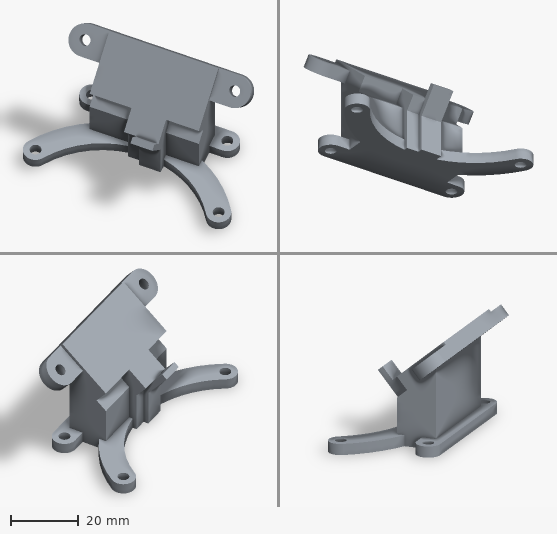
import cadquery as cq
import math

TILT = 40.0
PLATE_THICKNESS = 5.0
PLATE_WIDTH = 35.0
PLATE_LENGTH = 19.5
TONGUE_LENGTH = 27.0
TONGUE_LEFT = -4.1
TONGUE_RIGHT = 7.0
PLATE_BACK_Y = 5.68
PLATE_BACK_Z = 30.03

EAR_THICKNESS = 4.0
EAR_WIDTH = 10.0
EAR_HOLE_X = 24.0

COLUMN_DEPTH = 12.5

CLIP_LEFT = 0.0
CLIP_THICKNESS = 2.0
CLIP_ARM_LENGTH = 10.0
CLIP_STEM_THICKNESS = 1.6

HOLE_DIAMETER = 3.5

BASE_THICKNESS = 3.45
LUG_RADIUS = 3.76
ARM_RADIUS = 35.0
ARM_HALF_ANGLE = 57.0
ARM_CENTRE_Y = -44.66
BACK_LUG_X = 21.7
BACK_LUG_Y = -0.71

SIDES = (-1, 1)

slope_cos = math.cos(math.radians(TILT))
slope_sin = math.sin(math.radians(TILT))


def slope_point(along, above):
    """(Y, Z) of a point down the slope and above the plate underside."""
    y = PLATE_BACK_Y - along * slope_cos - above * slope_sin
    z = PLATE_BACK_Z - along * slope_sin + above * slope_cos
    return (y, z)


def underside_at(y):
    """(Y, Z) of the plate underside at a given Y."""
    return slope_point((PLATE_BACK_Y - y) / slope_cos, 0)


def extrude_side_profile(points, left, right):
    """Solid with a YZ outline, running from X = left to X = right."""
    return cq.Workplane("YZ").workplane(offset=left).polyline(points).close().extrude(right - left)


def sloped_slab(length, left, right):
    """Tilted slab that starts at the high back edge."""
    outline = [
        slope_point(0, 0),
        slope_point(length, 0),
        slope_point(length, PLATE_THICKNESS),
        slope_point(0, PLATE_THICKNESS),
    ]
    return extrude_side_profile(outline, left, right)


def column(front_y, left, right):
    """Upright block from the floor to the plate underside."""
    outline = [(0, 0), underside_at(0), underside_at(front_y), (front_y, 0)]
    return extrude_side_profile(outline, left, right)


def clip():
    """Thin stem in front of the tongue column with an arm square to the slope."""
    stem_back_y, bend_z = slope_point(TONGUE_LENGTH, 0)
    stem_front_y = stem_back_y - CLIP_STEM_THICKNESS
    arm_front = TONGUE_LENGTH + CLIP_THICKNESS
    arm_front_y, arm_front_z = slope_point(arm_front, 0)
    front_bend_z = arm_front_z - (stem_front_y - arm_front_y) * slope_cos / slope_sin
    outline = [
        (stem_back_y, 0),
        (stem_back_y, bend_z),
        slope_point(TONGUE_LENGTH, CLIP_ARM_LENGTH),
        slope_point(arm_front, CLIP_ARM_LENGTH),
        (stem_front_y, front_bend_z),
        (stem_front_y, 0),
    ]
    return extrude_side_profile(outline, CLIP_LEFT, TONGUE_RIGHT)


def underside_workplane():
    """Plane of the plate underside, with local Y pointing up the slope."""
    plane = cq.Plane(
        origin=(0, PLATE_BACK_Y, PLATE_BACK_Z),
        xDir=(1, 0, 0),
        normal=(0, -slope_sin, slope_cos),
    )
    return cq.Workplane(plane)


def plate_ears():
    """Round-ended bar across the back of the plate, with a hole at each end."""
    bar_length = 2 * EAR_HOLE_X + EAR_WIDTH
    bar = underside_workplane().center(0, -EAR_WIDTH / 2).slot2D(bar_length, EAR_WIDTH)
    return bar.extrude(EAR_THICKNESS)


def plate_ear_holes():
    """Pins that cut the ear holes square to the slope."""
    centres = [(side * EAR_HOLE_X, -EAR_WIDTH / 2) for side in SIDES]
    holes = underside_workplane().pushPoints(centres).circle(HOLE_DIAMETER / 2)
    return holes.extrude(EAR_THICKNESS)


def arm_point(radius, angle):
    """(X, Y) on an arc of the arms; the angle is from +Y, positive toward +X."""
    turn = math.radians(angle)
    return (radius * math.sin(turn), ARM_CENTRE_Y + radius * math.cos(turn))


def arm_hole_centres():
    return [arm_point(ARM_RADIUS, side * ARM_HALF_ANGLE) for side in SIDES]


def curved_arms():
    """Constant-width arc with rounded ends."""
    outer = ARM_RADIUS + LUG_RADIUS
    inner = ARM_RADIUS - LUG_RADIUS
    band = (
        cq.Workplane("XY")
        .moveTo(*arm_point(outer, -ARM_HALF_ANGLE))
        .threePointArc(arm_point(outer, 0), arm_point(outer, ARM_HALF_ANGLE))
        .lineTo(*arm_point(inner, ARM_HALF_ANGLE))
        .threePointArc(arm_point(inner, 0), arm_point(inner, -ARM_HALF_ANGLE))
        .close()
        .extrude(BASE_THICKNESS)
    )
    ends = cq.Workplane("XY").pushPoints(arm_hole_centres()).circle(LUG_RADIUS)
    return band.union(ends.extrude(BASE_THICKNESS))


def back_lugs():
    """Round-ended bar through the column that forms a lug on each side."""
    bar_length = 2 * (BACK_LUG_X + LUG_RADIUS)
    return (
        cq.Workplane("XY")
        .center(0, BACK_LUG_Y)
        .slot2D(bar_length, 2 * LUG_RADIUS)
        .extrude(BASE_THICKNESS)
    )


def base_holes():
    """Pins that cut the holes of the arms and the back lugs."""
    back_centres = [(side * BACK_LUG_X, BACK_LUG_Y) for side in SIDES]
    centres = arm_hole_centres() + back_centres
    holes = cq.Workplane("XY").pushPoints(centres).circle(HOLE_DIAMETER / 2)
    return holes.extrude(BASE_THICKNESS)


half_width = PLATE_WIDTH / 2
tongue_front_y = slope_point(TONGUE_LENGTH, 0)[0]

result = (
    sloped_slab(PLATE_LENGTH, -half_width, half_width)
    .union(sloped_slab(TONGUE_LENGTH, TONGUE_LEFT, TONGUE_RIGHT))
    .union(column(-COLUMN_DEPTH, -half_width, half_width))
    .union(column(tongue_front_y, TONGUE_LEFT, TONGUE_RIGHT))
    .union(clip())
    .union(plate_ears())
    .union(curved_arms())
    .union(back_lugs())
    .cut(plate_ear_holes())
    .cut(base_holes())
)